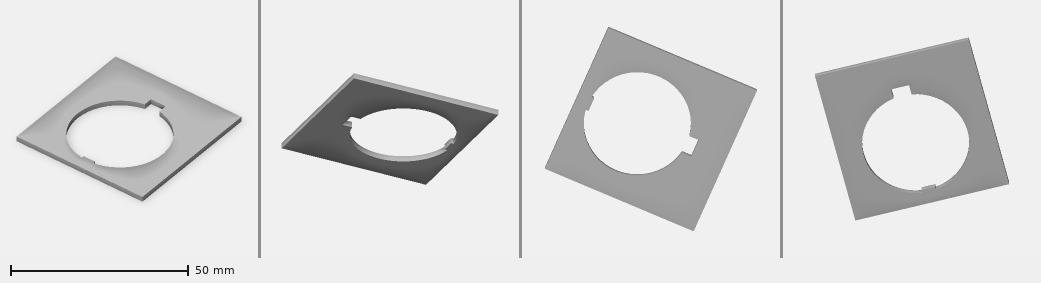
import cadquery as cq

plate_width = 44.8
plate_height = 45.75
plate_thickness = 1.7

hole_diameter = 30.25
hole_center_y = -4.2

notch_width = 5.2
notch_reach = 17.8

tab_width = 4.03
tab_reach = 14.15


def make_block(width, bottom_y, top_y):
    """Full-thickness block centred in X, spanning bottom_y to top_y."""
    return (
        cq.Workplane("XY")
        .center(0, (bottom_y + top_y) / 2)
        .rect(width, top_y - bottom_y)
        .extrude(plate_thickness)
    )


def make_opening():
    """Round opening with the notch added and the tab left standing."""
    disc = (
        cq.Workplane("XY")
        .center(0, hole_center_y)
        .circle(hole_diameter / 2)
        .extrude(plate_thickness)
    )
    notch = make_block(notch_width, hole_center_y, hole_center_y + notch_reach)
    tab = make_block(tab_width, hole_center_y - hole_diameter / 2, hole_center_y - tab_reach)
    return disc.union(notch).cut(tab)


plate = make_block(plate_width, -plate_height / 2, plate_height / 2)
result = plate.cut(make_opening())